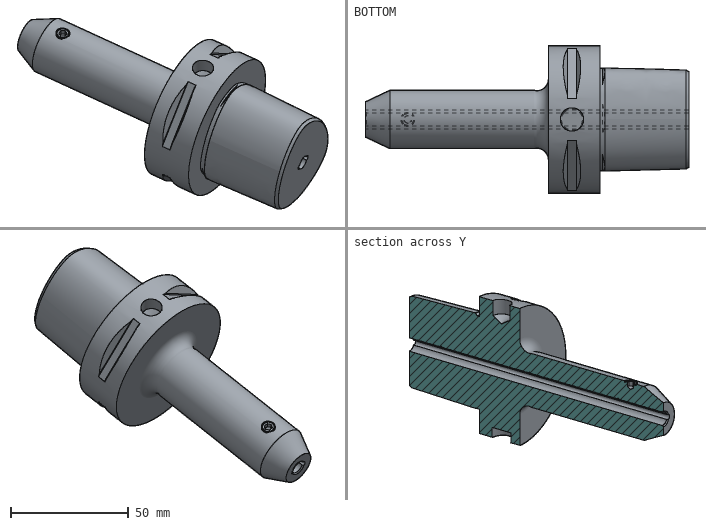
import cadquery as cq
import math

NOSE_LENGTH = 10.5
SHANK_END = 72.0
FLANGE_START = 78.0
FLANGE_WIDTH = 22.1
TOTAL_LENGTH = 138.0
FLANGE_END = FLANGE_START + FLANGE_WIDTH

NOSE_DIAMETER = 15.0
SHANK_DIAMETER = 25.0
NECK_DIAMETER = 24.5
NECK_FILLET = 5.0
FLANGE_DIAMETER = 63.0
NECK_START = FLANGE_START - NECK_FILLET

LOBE_COUNT = 3
COUPLING_DIAMETER = 44.0
LOBE_HEIGHT = 1.5
RELIEF_LENGTH = 2.1
RELIEF_DEPTH = 0.1
LAND_LENGTH = 0.8
TAPER_PER_LENGTH = 1 / 40
END_BEVEL_LENGTH = 1.4
END_BEVEL_DEPTH = 0.8
POINTS_PER_LOBE = 13

POCKET_RADIUS = 22.4
POCKET_FLOOR_LENGTH = 1.0
POCKET_SLOPE_SIZE = 1.1

FLANGE_FEATURE_X = 88.0
SLOT_COUNT = 4
SLOT_FLOOR_DISTANCE = 27.7
SLOT_FLOOR_WIDTH = 3.9
SLOT_WALL_HEIGHT = 0.7
SLOT_FLANK_ANGLE = 30
DRILL_DIAMETER = 9.0
DRILL_DEPTH = 6.9
DRILL_POINT_ANGLE = 118
CHIP_DIAMETER = 10.0
CHIP_DEPTH = 4.5

BORE_DIAMETER = 6.0
BORE_CHAMFER = 0.5
GROOVE_SPAN = 8.1
GROOVE_WIDTH = 2.2

SCREW_X = 18.1
SCREW_DIAMETER = 6.0
SCREW_TOP_DIAMETER = 5.0
SCREW_RECESS = 0.3
HEX_ACROSS_FLATS = 3.0
HEX_DEPTH = 2.1

CUTTER_CLEARANCE = 1.4


def conical_pit(diameter, depth):
    """Cutter for a round hole from z = 0 downward that ends in a cone."""
    radius = diameter / 2
    top = CUTTER_CLEARANCE
    cone_depth = radius / math.tan(math.radians(DRILL_POINT_ANGLE / 2))
    return (
        cq.Workplane("XZ")
        .polyline([(0, top), (radius, top), (radius, -depth), (0, -depth - cone_depth)])
        .close()
        .revolve(360, (0, 0), (0, 1))
    )


def turned_body():
    """Nose cone, shank, filleted neck and flange."""
    fillet_middle = NECK_FILLET * math.sin(math.radians(45))
    neck_radius = NECK_DIAMETER / 2
    return (
        cq.Workplane("XY")
        .lineTo(0, NOSE_DIAMETER / 2)
        .lineTo(NOSE_LENGTH, SHANK_DIAMETER / 2)
        .lineTo(SHANK_END, SHANK_DIAMETER / 2)
        .lineTo(NECK_START, neck_radius)
        .threePointArc(
            (NECK_START + fillet_middle, neck_radius + NECK_FILLET - fillet_middle),
            (FLANGE_START, neck_radius + NECK_FILLET),
        )
        .lineTo(FLANGE_START, FLANGE_DIAMETER / 2)
        .lineTo(FLANGE_END, FLANGE_DIAMETER / 2)
        .lineTo(FLANGE_END, 0)
        .close()
        .revolve(360, (0, 0), (1, 0))
    )


def lobed_wire(x, inset):
    """Constant-width lobed outline at x, one lobe toward +Z, moved inward by inset."""
    mean_radius = COUPLING_DIAMETER / 2 - inset

    def outline_point(angle):
        lobe_phase = LOBE_COUNT * (angle - math.pi / 2)
        support = mean_radius + LOBE_HEIGHT * math.cos(lobe_phase)
        slope = -LOBE_COUNT * LOBE_HEIGHT * math.sin(lobe_phase)
        return cq.Vector(
            x,
            support * math.cos(angle) - slope * math.sin(angle),
            support * math.sin(angle) + slope * math.cos(angle),
        )

    def tangent(angle):
        return cq.Vector(0, -math.sin(angle), math.cos(angle))

    lobe_angle = 2 * math.pi / LOBE_COUNT
    edges = []
    for lobe in range(LOBE_COUNT):
        start = math.pi / 2 + (lobe - 0.5) * lobe_angle
        step = lobe_angle / (POINTS_PER_LOBE - 1)
        points = [outline_point(start + i * step) for i in range(POINTS_PER_LOBE)]
        ends = [tangent(start), tangent(start + lobe_angle)]
        edges.append(cq.Edge.makeSpline(points, tangents=ends))
    return cq.Wire.assembleEdges(edges)


def lobed_section(start_x, start_inset, end_x, end_inset):
    wires = [lobed_wire(start_x, start_inset), lobed_wire(end_x, end_inset)]
    return cq.Solid.makeLoft(wires, True)


def lobe_pockets():
    """Ring cutter that only reaches the three lobes."""
    outer_radius = POCKET_RADIUS + POCKET_SLOPE_SIZE
    floor_end = FLANGE_END + POCKET_FLOOR_LENGTH
    return (
        cq.Workplane("XY")
        .moveTo(FLANGE_END, POCKET_RADIUS)
        .lineTo(floor_end, POCKET_RADIUS)
        .lineTo(floor_end + POCKET_SLOPE_SIZE, outer_radius)
        .lineTo(FLANGE_END, outer_radius)
        .close()
        .revolve(360, (0, 0), (1, 0))
    )


def coupling():
    land_start = FLANGE_END + RELIEF_LENGTH
    taper_start = land_start + LAND_LENGTH
    bevel_start = TOTAL_LENGTH - END_BEVEL_LENGTH
    taper_inset = (bevel_start - taper_start) * TAPER_PER_LENGTH
    relief = lobed_section(FLANGE_END, RELIEF_DEPTH, land_start, RELIEF_DEPTH)
    land = lobed_section(land_start, 0, taper_start, 0)
    taper = lobed_section(taper_start, 0, bevel_start, taper_inset)
    bevel = lobed_section(bevel_start, taper_inset, TOTAL_LENGTH, taper_inset + END_BEVEL_DEPTH)
    body = cq.Workplane(relief).union(cq.Workplane(land))
    body = body.union(cq.Workplane(taper)).union(cq.Workplane(bevel))
    return body.cut(lobe_pockets())


def gripper_slots():
    """Flat-bottomed slots with short upright walls and flared flanks, on the diagonals of the flange."""
    height = FLANGE_DIAMETER / 2 - SLOT_FLOOR_DISTANCE + CUTTER_CLEARANCE
    floor_half = SLOT_FLOOR_WIDTH / 2
    top_half = floor_half + (height - SLOT_WALL_HEIGHT) * math.tan(math.radians(SLOT_FLANK_ANGLE))
    slot = (
        cq.Workplane("XZ", origin=(FLANGE_FEATURE_X, 0, SLOT_FLOOR_DISTANCE))
        .moveTo(-floor_half, 0)
        .lineTo(floor_half, 0)
        .lineTo(floor_half, SLOT_WALL_HEIGHT)
        .lineTo(top_half, height)
        .lineTo(-top_half, height)
        .lineTo(-floor_half, SLOT_WALL_HEIGHT)
        .close()
        .extrude(FLANGE_DIAMETER / 2, both=True)
    )
    slots = cq.Workplane()
    pitch = 360 / SLOT_COUNT
    for index in range(SLOT_COUNT):
        slots = slots.add(slot.rotate((0, 0, 0), (1, 0, 0), (index + 0.5) * pitch))
    return slots.combine()


def flange_drill_hole():
    pit = conical_pit(DRILL_DIAMETER, DRILL_DEPTH)
    return pit.translate((FLANGE_FEATURE_X, 0, FLANGE_DIAMETER / 2))


def chip_recess():
    bottom = -FLANGE_DIAMETER / 2
    return (
        cq.Workplane("XY", origin=(FLANGE_FEATURE_X, 0, bottom))
        .circle(CHIP_DIAMETER / 2)
        .extrude(CHIP_DEPTH)
    )


def tool_bore():
    bore = cq.Workplane("YZ").circle(BORE_DIAMETER / 2).extrude(TOTAL_LENGTH)
    grooves = cq.Workplane("YZ").slot2D(GROOVE_SPAN, GROOVE_WIDTH).extrude(TOTAL_LENGTH)
    mouth = (
        cq.Workplane("YZ")
        .circle(BORE_DIAMETER / 2 + BORE_CHAMFER)
        .workplane(offset=BORE_CHAMFER)
        .circle(BORE_DIAMETER / 2)
        .loft()
    )
    return bore.union(grooves).union(mouth)


def screw_recess():
    """Space above and around the screw head, plus its hexagon socket."""
    top = SHANK_DIAMETER / 2
    head_z = -SCREW_RECESS
    bevel = (SCREW_DIAMETER - SCREW_TOP_DIAMETER) / 2
    around_head = (
        cq.Workplane("XZ")
        .moveTo(0, CUTTER_CLEARANCE)
        .lineTo(SCREW_DIAMETER / 2, CUTTER_CLEARANCE)
        .lineTo(SCREW_DIAMETER / 2, head_z - bevel)
        .lineTo(SCREW_TOP_DIAMETER / 2, head_z)
        .lineTo(0, head_z)
        .close()
        .revolve(360, (0, 0), (0, 1))
    )
    corner_diameter = HEX_ACROSS_FLATS / math.cos(math.radians(30))
    socket = (
        cq.Workplane("XY", origin=(0, 0, head_z))
        .polygon(6, corner_diameter)
        .extrude(-HEX_DEPTH)
        .rotate((0, 0, 0), (0, 0, 1), 90)
    )
    socket_point = conical_pit(HEX_ACROSS_FLATS, SCREW_RECESS + HEX_DEPTH)
    return around_head.union(socket).union(socket_point).translate((SCREW_X, 0, top))


result = (
    turned_body()
    .union(coupling())
    .cut(gripper_slots())
    .cut(flange_drill_hole())
    .cut(chip_recess())
    .cut(tool_bore())
    .cut(screw_recess())
)